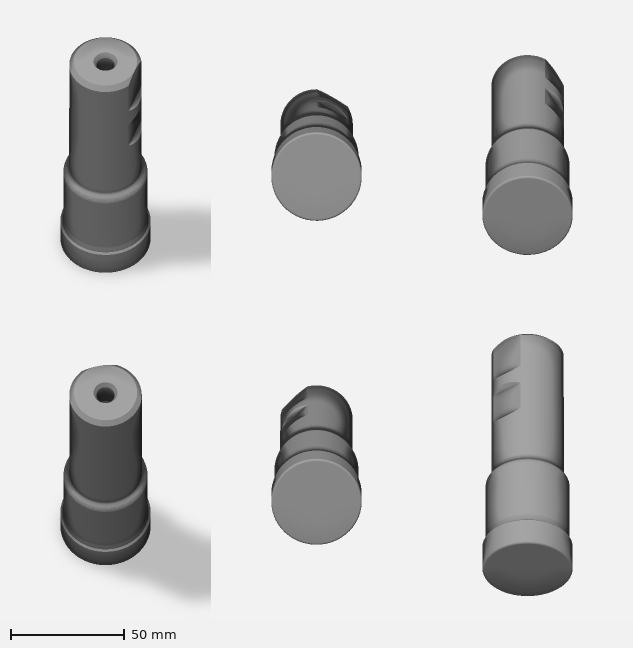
import cadquery as cq
import math

total_height = 120.0

head_diameter = 40.0
head_height = 13.3
head_base_fillet = 1.0
head_top_chamfer = 0.7

collar_diameter = 37.2
flare_height = 2.9
flare_angle = 10.0
flare_fillet = 3.6

shank_diameter = 32.0
cone_foot_height = 47.0
cone_foot_fillet = 3.0
cone_top_fillet = 1.0

shank_chamfer = 2.0
hole_diameter = 8.0
hole_depth = 14.4
hole_tip_angle = 118.0
countersink_diameter = 10.6
countersink_angle = 60.0

flat_depth = 2.0
upper_flat_bottom = 101.0
notch_top = 91.6
notch_bottom = 77.5

head_radius = head_diameter / 2
collar_radius = collar_diameter / 2
shank_radius = shank_diameter / 2


def cone_height(diameter, included_angle):
    """Height of a full cone with the given base diameter and included angle."""
    return diameter / 2 / math.tan(math.radians(included_angle / 2))


def make_head():
    disc = cq.Workplane("XY").circle(head_radius).extrude(head_height)
    return disc.faces("<Z").edges().fillet(head_base_fillet).faces(">Z").edges().chamfer(head_top_chamfer)


def fillet_circle(body, radius, height, fillet):
    """Round the circular edge of the given radius that lies at the given height."""
    slack = 0.01
    box = cq.selectors.BoxSelector(
        (-radius - slack, -radius - slack, height - slack),
        (radius + slack, radius + slack, height + slack),
        boundingbox=True,
    )
    return body.edges(box).fillet(fillet)


def make_holder_blank():
    """Collar and shank as one turned body, standing on top of the head."""
    flare_top = head_height + flare_height
    flare_radius = collar_radius + flare_height * math.tan(math.radians(flare_angle))
    cone_top_height = cone_foot_height + collar_radius - shank_radius
    blank = (
        cq.Workplane("XZ")
        .moveTo(0, head_height)
        .lineTo(flare_radius, head_height)
        .lineTo(collar_radius, flare_top)
        .lineTo(collar_radius, cone_foot_height)
        .lineTo(shank_radius, cone_top_height)
        .lineTo(shank_radius, total_height - shank_chamfer)
        .lineTo(shank_radius - shank_chamfer, total_height)
        .lineTo(0, total_height)
        .close()
        .revolve(360, (0, 0, 0), (0, 1, 0))
    )
    blank = fillet_circle(blank, collar_radius, flare_top, flare_fillet)
    blank = fillet_circle(blank, collar_radius, cone_foot_height, cone_foot_fillet)
    return fillet_circle(blank, shank_radius, cone_top_height, cone_top_fillet)


def make_centre_hole():
    """Countersunk blind hole with a conical tip, cut down from the shank end."""
    hole_radius = hole_diameter / 2
    countersink_depth = cone_height(countersink_diameter - hole_diameter, countersink_angle)
    hole_bottom = total_height - hole_depth
    return (
        cq.Workplane("XZ")
        .moveTo(0, total_height)
        .lineTo(countersink_diameter / 2, total_height)
        .lineTo(hole_radius, total_height - countersink_depth)
        .lineTo(hole_radius, hole_bottom)
        .lineTo(0, hole_bottom - cone_height(hole_diameter, hole_tip_angle))
        .close()
        .revolve(360, (0, 0, 0), (0, 1, 0))
    )


def make_flat_cutter(bottom, top):
    """Cutter for a flat between two heights, with ends that run out at 45 degrees."""
    flat_x = shank_radius - flat_depth
    reach = 2 * flat_depth
    return (
        cq.Workplane("XZ")
        .moveTo(flat_x, bottom)
        .lineTo(flat_x + reach, bottom - reach)
        .lineTo(flat_x + reach, top + reach)
        .lineTo(flat_x, top)
        .close()
        .extrude(shank_radius, both=True)
    )


def make_holder():
    upper_flat = make_flat_cutter(upper_flat_bottom, total_height)
    notch = make_flat_cutter(notch_bottom, notch_top)
    return make_holder_blank().cut(make_centre_hole()).cut(upper_flat).cut(notch)


head = make_head()
holder = make_holder()

result = cq.Compound.makeCompound([head.val(), holder.val()])